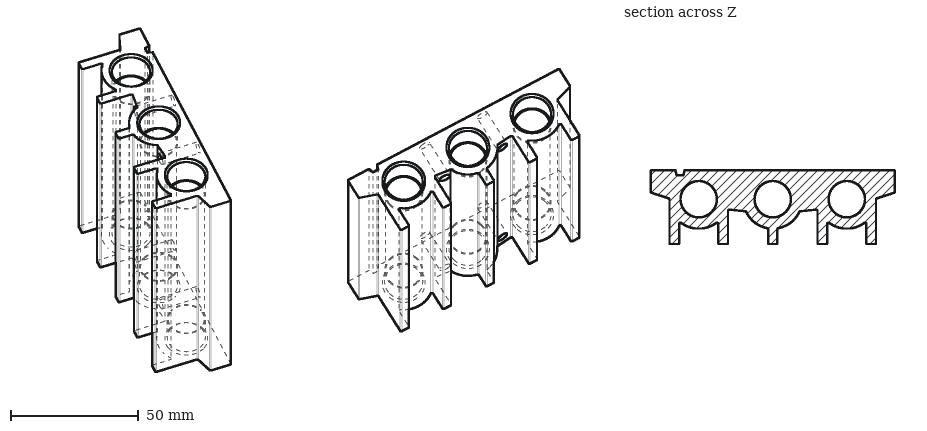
import cadquery as cq
import math

LENGTH = 99.0
WIDTH = 95.6
DEPTH = 29.0

BORE_PITCH = 29.0
BORE_CENTERS = [(-BORE_PITCH, 0), (0, 0), (BORE_PITCH, 0)]
BORE_DIAMETER = 14.2
PORT_DIAMETER = 14.9
PORT_DEPTH = 11.9
PORT_MOUTH_DIAMETER = 16.8
WALL_RADIUS = 11.6

BACK_Y = 11.4
FIN_TIP_Y = BACK_Y - DEPTH
FLANK_HEIGHT = 8.8
FLANK_ROOT_Y = 0.2
FIN_INNER_OFFSET = 7.6
FIN_OUTER_OFFSET = 11.5
MIDDLE_FIN_WIDTH = 3.7
WEB_ROOT_Y = -4.1
WEB_SLOPE_DEGREES = 6.0
EDGE_RADIUS = 0.5

GROOVE_X = -36.3
GROOVE_TOP_WIDTH = 3.7
GROOVE_BOTTOM_WIDTH = 2.5
GROOVE_DEPTH = 2.0

MOUNT_DIAMETER = 4.5
MOUNT_SPACING_X = 26.0
MOUNT_END_DISTANCE = 5.8


def wall_depth(offset):
    """Y of the round bore wall at a sideways offset from its bore axis."""
    return -math.sqrt(WALL_RADIUS**2 - offset**2)


def web_wall_corner():
    """Point right of the middle bore where the sloping web meets the round wall."""
    slope = math.tan(math.radians(WEB_SLOPE_DEGREES))
    root_x = BORE_PITCH - FIN_OUTER_OFFSET
    intercept = WEB_ROOT_Y - slope * root_x
    a = 1 + slope**2
    b = 2 * slope * intercept
    c = intercept**2 - WALL_RADIUS**2
    x = (-b + math.sqrt(b**2 - 4 * a * c)) / (2 * a)
    return x, slope * x + intercept


def make_body():
    """Extruded right half of the profile, mirrored, with rounded edges."""
    half_width = WIDTH / 2
    half_fin = MIDDLE_FIN_WIDTH / 2
    fin_out_left = BORE_PITCH - FIN_OUTER_OFFSET
    fin_in_left = BORE_PITCH - FIN_INNER_OFFSET
    fin_in_right = BORE_PITCH + FIN_INNER_OFFSET
    fin_out_right = BORE_PITCH + FIN_OUTER_OFFSET
    corner_x, corner_y = web_wall_corner()
    start_angle = math.atan2(wall_depth(half_fin), half_fin)
    middle_angle = (start_angle + math.atan2(corner_y, corner_x)) / 2
    middle_wall = (WALL_RADIUS * math.cos(middle_angle), WALL_RADIUS * math.sin(middle_angle))

    half = (
        cq.Workplane("XY")
        .moveTo(0, BACK_Y)
        .lineTo(0, FIN_TIP_Y)
        .lineTo(half_fin, FIN_TIP_Y)
        .lineTo(half_fin, wall_depth(half_fin))
        .threePointArc(middle_wall, (corner_x, corner_y))
        .lineTo(fin_out_left, WEB_ROOT_Y)
        .lineTo(fin_out_left, FIN_TIP_Y)
        .lineTo(fin_in_left, FIN_TIP_Y)
        .lineTo(fin_in_left, wall_depth(FIN_INNER_OFFSET))
        .threePointArc((BORE_PITCH, -WALL_RADIUS), (fin_in_right, wall_depth(FIN_INNER_OFFSET)))
        .lineTo(fin_in_right, FIN_TIP_Y)
        .lineTo(fin_out_right, FIN_TIP_Y)
        .lineTo(fin_out_right, FLANK_ROOT_Y)
        .lineTo(half_width, BACK_Y - FLANK_HEIGHT)
        .lineTo(half_width, BACK_Y)
        .close()
        .extrude(LENGTH)
    )
    margin = EDGE_RADIUS
    sharp_corner = cq.selectors.BoxSelector(
        (corner_x - margin, corner_y - margin, 0), (corner_x + margin, corner_y + margin, LENGTH)
    )
    mirror_plane = cq.selectors.BoxSelector((-margin, -DEPTH, 0), (margin, DEPTH, LENGTH))
    rounded = cq.selectors.StringSyntaxSelector("|Z") - sharp_corner - mirror_plane
    half = half.edges(rounded).fillet(EDGE_RADIUS)
    return half.union(half.mirror("YZ"))


def make_bore():
    """Bore on the Z axis with a wider, countersunk port at both ends."""
    bore_radius = BORE_DIAMETER / 2
    port_radius = PORT_DIAMETER / 2
    mouth_radius = PORT_MOUTH_DIAMETER / 2
    mouth_depth = mouth_radius - port_radius
    return (
        cq.Workplane("XZ")
        .moveTo(0, 0)
        .lineTo(mouth_radius, 0)
        .lineTo(port_radius, mouth_depth)
        .lineTo(port_radius, PORT_DEPTH)
        .lineTo(bore_radius, PORT_DEPTH)
        .lineTo(bore_radius, LENGTH - PORT_DEPTH)
        .lineTo(port_radius, LENGTH - PORT_DEPTH)
        .lineTo(port_radius, LENGTH - mouth_depth)
        .lineTo(mouth_radius, LENGTH)
        .lineTo(0, LENGTH)
        .close()
        .revolve(360, (0, 0, 0), (0, 1, 0))
    )


def make_groove():
    """Tapered groove along the back face."""
    half_top = GROOVE_TOP_WIDTH / 2
    half_bottom = GROOVE_BOTTOM_WIDTH / 2
    bottom_y = BACK_Y - GROOVE_DEPTH
    return (
        cq.Workplane("XY")
        .moveTo(GROOVE_X - half_top, BACK_Y)
        .lineTo(GROOVE_X - half_bottom, bottom_y)
        .lineTo(GROOVE_X + half_bottom, bottom_y)
        .lineTo(GROOVE_X + half_top, BACK_Y)
        .close()
        .extrude(LENGTH)
    )


def make_mount_holes():
    """Four holes along Y, between the bores and near both ends."""
    return (
        cq.Workplane("XZ", origin=(0, BACK_Y, LENGTH / 2))
        .rarray(MOUNT_SPACING_X, LENGTH - 2 * MOUNT_END_DISTANCE, 2, 2)
        .circle(MOUNT_DIAMETER / 2)
        .extrude(DEPTH)
    )


result = make_body().cut(make_groove()).cut(make_mount_holes())
for center_x, center_y in BORE_CENTERS:
    result = result.cut(make_bore().translate((center_x, center_y, 0)))